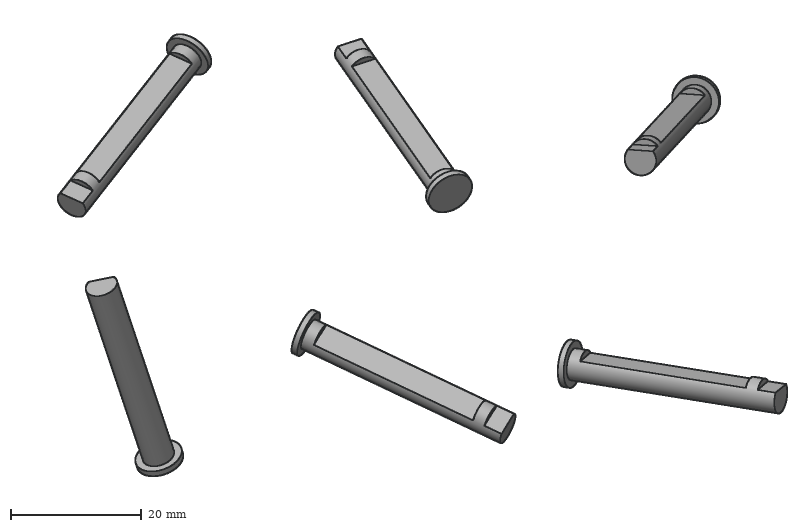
import cadquery as cq

total_length = 35.8
head_diameter = 7.4
head_thickness = 1.0
shaft_diameter = 5.0
flat_depth = 1.0
tip_flat_length = 3.0
collar_length = 2.0
neck_length = 2.0

shaft_length = total_length - head_thickness
flat_height = shaft_diameter / 2 - flat_depth
main_flat_start = tip_flat_length + collar_length
main_flat_end = shaft_length - neck_length


def cylinder_along_y(diameter, start, length):
    """Solid cylinder on the pin axis, running towards +Y from start."""
    base = cq.Plane(origin=(0, start, 0), xDir=(1, 0, 0), normal=(0, 1, 0))
    return cq.Workplane(base).circle(diameter / 2).extrude(length)


def flat_cutter(start, end):
    """Block that removes the top of the shaft between two Y positions."""
    return (
        cq.Workplane("XY", origin=(0, (start + end) / 2, flat_height))
        .rect(shaft_diameter, end - start)
        .extrude(flat_depth)
    )


shaft = cylinder_along_y(shaft_diameter, 0, shaft_length)
head = cylinder_along_y(head_diameter, shaft_length, head_thickness)

result = (
    shaft.union(head)
    .cut(flat_cutter(0, tip_flat_length))
    .cut(flat_cutter(main_flat_start, main_flat_end))
)